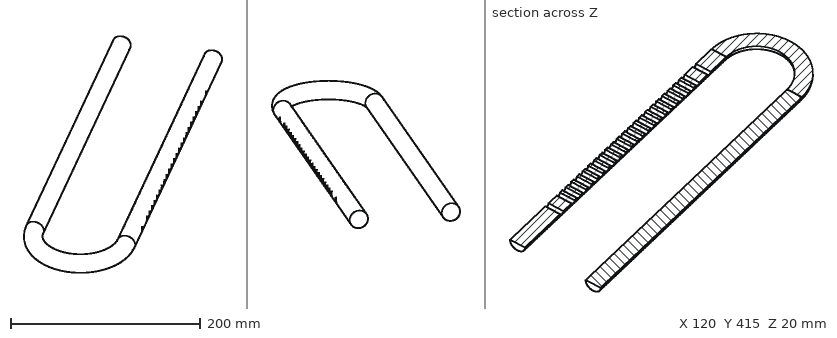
import cadquery as cq

TOTAL_LENGTH = 415.0
TOTAL_WIDTH = 120.0
BAR_DIAMETER = 20.0

HOLE_DIAMETER = 5.0
ROW_START = 30.0
ROW_LENGTH = 260.0
ROW_STEPS = 26
SKIPPED_STEPS = (1, ROW_STEPS - 1)

bar_radius = BAR_DIAMETER / 2
bend_radius = (TOTAL_WIDTH - BAR_DIAMETER) / 2
leg_length = TOTAL_LENGTH - TOTAL_WIDTH / 2
hole_pitch = ROW_LENGTH / ROW_STEPS


def make_bend():
    """Half turn of solid round bar, from the -X leg round to the +X leg."""
    return (
        cq.Workplane("XZ", origin=(-bend_radius, 0, 0))
        .circle(bar_radius)
        .revolve(180, (bend_radius, 0), (bend_radius, 1))
    )


def make_leg(x):
    """Straight round bar running from the bend joint at y = 0 in +Y."""
    return cq.Workplane("XZ", origin=(x, 0, 0)).circle(bar_radius).extrude(-leg_length)


def make_hole_row(x):
    """Cutters along X that pass right through the leg centred on x."""
    places = [
        (ROW_START + step * hole_pitch, 0)
        for step in range(ROW_STEPS + 1)
        if step not in SKIPPED_STEPS
    ]
    return (
        cq.Workplane("YZ", origin=(x, 0, 0))
        .pushPoints(places)
        .circle(HOLE_DIAMETER / 2)
        .extrude(BAR_DIAMETER, both=True)
    )


bend = make_bend()
plain_leg = make_leg(-bend_radius)
drilled_leg = make_leg(bend_radius).cut(make_hole_row(bend_radius))

result = cq.Compound.makeCompound([bend.val(), plain_leg.val(), drilled_leg.val()])